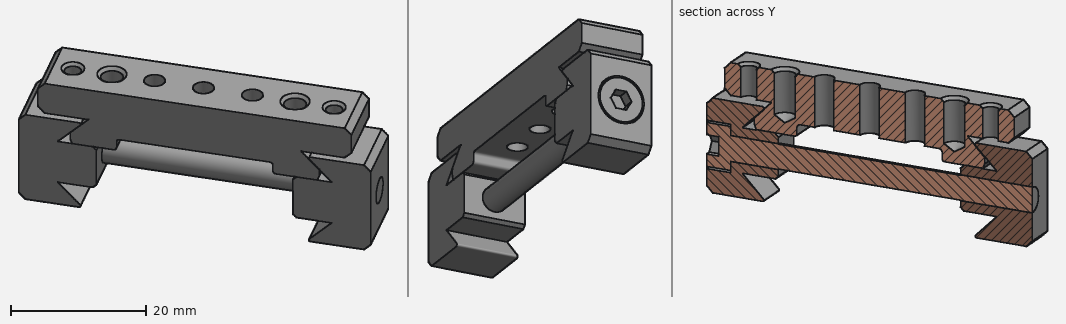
import cadquery as cq
import math

total_length = 53.9
width = 10.0
total_height = 21.0
outer_chamfer = 1.0

rail_length = 47.95
rail_head_height = 5.25
rail_height = 9.9
rail_root_half = 16.3
dovetail_half = 19.1
dovetail_chamfer_width = 0.3
dovetail_chamfer_height = 0.8
recess_half = 11.95
recess_depth = 1.95
recess_corner_radius = 0.5

through_hole_diameter = 3.1
through_hole_pitch = 7.5
deep_hole_place = 14.0
deep_hole_diameter = 3.35
deep_hole_countersink = 4.35
deep_hole_depth = 7.0
drill_point_angle = 118.0
end_hole_place = 20.0
end_hole_diameter = 2.55
end_hole_countersink = 3.45
countersink_angle = 90.0

clamp_height = 15.0
neck_end_half = 15.05
neck_chamfer = 0.55
lip_tip_radius = 0.25

bolt_diameter = 4.0
bolt_head_diameter = 7.0
bolt_head_height = 4.0
counterbore_diameter = 7.55
hex_across_flats = 2.95
hex_depth = 2.0

rail_bottom = total_height - rail_height
rail_head_bottom = total_height - rail_head_height
bolt_axis = clamp_height / 2
left_end = -total_length / 2
clamp_root_half = rail_root_half + rail_head_bottom - rail_bottom
clamp_tip_half = clamp_root_half - (clamp_height - rail_bottom)


def extrude_profile(points):
    """Extrude an XZ outline over the full width, centred on Y = 0."""
    return cq.Workplane("XZ").polyline(points).close().extrude(width / 2, both=True)


def edges_at(body, places):
    """Select the edges along Y that pass through the given (x, z) places."""
    selected = body.newObject([])
    for x, z in places:
        selected = selected.add(body.edges(cq.NearestToPointSelector((x, 0, z))))
    return selected


def both_sides(x, z):
    """A place and its mirror image in the plane X = 0."""
    return [(-x, z), (x, z)]


def countersunk_hole(diameter, countersink_diameter, depth, point_depth=0.0):
    """Cutter that hangs down from Z = 0, with a countersink and an optional drill point."""
    radius = diameter / 2
    rim = countersink_diameter / 2
    countersink_depth = (rim - radius) / math.tan(math.radians(countersink_angle / 2))
    profile = (
        cq.Workplane("XZ")
        .lineTo(rim, 0)
        .lineTo(radius, -countersink_depth)
        .lineTo(radius, -depth)
        .lineTo(0, -depth - point_depth)
        .close()
    )
    return profile.revolve(360, (0, 0, 0), (0, 1, 0))


def make_rail():
    """Rail with a dovetail at each end, a recess below and a row of holes along the top."""
    rail_end = rail_length / 2
    flank_bottom = rail_head_bottom - (dovetail_half - rail_root_half)
    recess_top = rail_bottom + recess_depth
    chamfer_start = dovetail_half - dovetail_chamfer_width
    right_half = [
        (rail_end, total_height),
        (rail_end, rail_head_bottom),
        (rail_root_half, rail_head_bottom),
        (dovetail_half, flank_bottom),
        (dovetail_half, rail_bottom + dovetail_chamfer_height),
        (chamfer_start, rail_bottom),
        (recess_half, rail_bottom),
        (recess_half, recess_top),
    ]
    left_half = [(-x, z) for x, z in reversed(right_half)]
    rail = extrude_profile(right_half + left_half)

    rail = rail.edges("|Y and (<X or >X)").chamfer(outer_chamfer)
    recess_corners = both_sides(recess_half, rail_bottom) + both_sides(recess_half, recess_top)
    rail = edges_at(rail, recess_corners).fillet(recess_corner_radius)

    through_places = [(i * through_hole_pitch, 0) for i in (-1, 0, 1)]
    rail = rail.cut(
        cq.Workplane("XY").pushPoints(through_places).circle(through_hole_diameter / 2).extrude(total_height)
    )

    point_depth = deep_hole_diameter / 2 / math.tan(math.radians(drill_point_angle / 2))
    deep_hole = countersunk_hole(deep_hole_diameter, deep_hole_countersink, deep_hole_depth, point_depth)
    end_hole = countersunk_hole(end_hole_diameter, end_hole_countersink, rail_head_height)
    for side in (-1, 1):
        rail = rail.cut(deep_hole.translate((side * deep_hole_place, 0, total_height)))
        rail = rail.cut(end_hole.translate((side * end_hole_place, 0, total_height)))
    return rail


def make_clamp_block():
    """Left clamp without the bolt hole, symmetric about the height of the bolt axis."""
    upper_half = [
        (left_end, clamp_height),
        (-clamp_tip_half, clamp_height),
        (-clamp_root_half, rail_bottom),
        (-neck_end_half, rail_bottom),
    ]
    lower_half = [(x, clamp_height - z) for x, z in reversed(upper_half)]
    clamp = extrude_profile(upper_half + lower_half)
    clamp = clamp.edges("|Y and <X").chamfer(outer_chamfer)
    clamp = clamp.edges("|Y and >X").chamfer(neck_chamfer)
    lip_tips = [(-clamp_tip_half, 0), (-clamp_tip_half, clamp_height)]
    return edges_at(clamp, lip_tips).fillet(lip_tip_radius)


def cylinder_along_x(diameter, length):
    """Cylinder on the bolt axis that starts at the left end of the assembly."""
    start = cq.Workplane("YZ", origin=(left_end, 0, bolt_axis))
    return start.circle(diameter / 2).extrude(length)


def make_head_clamp():
    """Left clamp, counterbored for the bolt head."""
    clamp = make_clamp_block()
    clamp = clamp.cut(cylinder_along_x(bolt_diameter, total_length))
    return clamp.cut(cylinder_along_x(counterbore_diameter, bolt_head_height))


def make_thread_clamp():
    """Right clamp, with a through hole that holds the end of the bolt."""
    clamp = make_clamp_block().mirror("YZ")
    return clamp.cut(cylinder_along_x(bolt_diameter, total_length))


def make_bolt():
    """Socket head bolt, flush with the outer faces of both clamps."""
    head = cylinder_along_x(bolt_head_diameter, bolt_head_height)
    bolt = head.union(cylinder_along_x(bolt_diameter, total_length))
    hex_across_corners = hex_across_flats / math.cos(math.pi / 6)
    socket = (
        cq.Workplane("YZ", origin=(left_end, 0, bolt_axis))
        .polygon(6, hex_across_corners)
        .extrude(hex_depth)
    )
    return bolt.cut(socket)


rail = make_rail()
head_clamp = make_head_clamp()
thread_clamp = make_thread_clamp()
bolt = make_bolt()

result = cq.Compound.makeCompound([rail.val(), head_clamp.val(), thread_clamp.val(), bolt.val()])